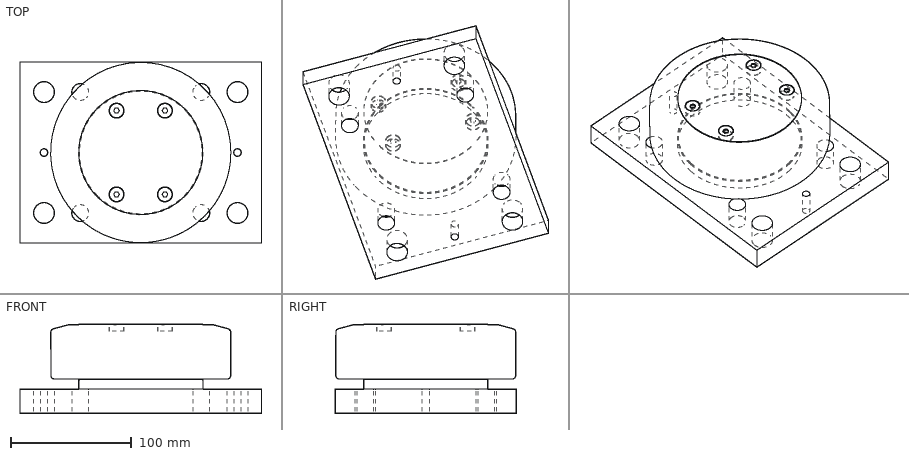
import cadquery as cq
import math

plate_length = 200.0
plate_width = 150.0
plate_thickness = 20.0
mount_hole_diameter = 17.0
mount_hole_x = 80.0
mount_hole_y = 50.0
inner_hole_diameter = 13.84
inner_hole_x = 50.0
inner_hole_y = mount_hole_y
dowel_hole_diameter = 6.0
dowel_hole_x = mount_hole_x

hub_diameter = 103.0
hub_top = 27.75
neck_diameter = 101.4

ring_diameter = 149.0
ring_bottom = 28.25
ring_height = 45.0
ring_top = ring_bottom + ring_height
ring_edge_fillet = 3.0
cone_top_diameter = 120.0
cone_angle = 15.0

cap_diameter = 102.5
overall_height = 74.0

screw_angles = (60.0, 120.0, 240.0, 300.0)
screw_circle_radius = 40.0
counterbore_diameter = 12.4
counterbore_depth = 6.0
screw_head_diameter = 11.7
head_recess = 0.2
socket_sides = 6
socket_flats = 4.0
socket_corner_diameter = socket_flats / math.cos(math.pi / socket_sides)
socket_depth = 1.0


def plane_at(height):
    """Horizontal workplane at a height above the plate underside."""
    return cq.Workplane("XY").workplane(offset=height)


def disc(diameter, bottom, top):
    """Upright cylinder on the Z axis between two heights."""
    return plane_at(bottom).circle(diameter / 2).extrude(top - bottom)


def corner_points(x, y):
    """The four points mirrored about both plate axes."""
    return [(side_x * x, side_y * y) for side_x in (-1, 1) for side_y in (-1, 1)]


def make_plate():
    plate = plane_at(0).rect(plate_length, plate_width).extrude(plate_thickness)
    hole_sets = (
        (mount_hole_diameter, corner_points(mount_hole_x, mount_hole_y)),
        (inner_hole_diameter, corner_points(inner_hole_x, inner_hole_y)),
        (dowel_hole_diameter, [(-dowel_hole_x, 0), (dowel_hole_x, 0)]),
    )
    for diameter, points in hole_sets:
        holes = plane_at(0).pushPoints(points).circle(diameter / 2).extrude(plate_thickness)
        plate = plate.cut(holes)
    return plate


def make_ring():
    """Ring with a conical shoulder, rounded at its two outermost edges."""
    outer_radius = ring_diameter / 2
    cone_top_radius = cone_top_diameter / 2
    cone_drop = (outer_radius - cone_top_radius) * math.tan(math.radians(cone_angle))
    shoulder_height = ring_top - cone_drop
    profile = (
        cq.Workplane("XZ")
        .moveTo(0, ring_bottom)
        .lineTo(outer_radius, ring_bottom)
        .lineTo(outer_radius, shoulder_height)
        .lineTo(cone_top_radius, ring_top)
        .lineTo(0, ring_top)
        .close()
    )
    ring = profile.revolve(360, (0, 0, 0), (0, 1, 0))
    outer_edges = ring.faces("%CYLINDER").edges("%CIRCLE")
    return outer_edges.fillet(ring_edge_fillet)


def sink_screws(body):
    """Sink the cap screws: a gap around each flat head and a hexagon socket in it."""
    centers = []
    for angle in screw_angles:
        turn = math.radians(angle)
        centers.append((screw_circle_radius * math.cos(turn), screw_circle_radius * math.sin(turn)))

    counterbore_floor = overall_height - counterbore_depth
    head_top = overall_height - head_recess
    head_height = head_top - counterbore_floor
    floor_points = plane_at(counterbore_floor).pushPoints(centers)
    head_points = plane_at(head_top).pushPoints(centers)

    counterbores = floor_points.circle(counterbore_diameter / 2).extrude(counterbore_depth)
    heads = floor_points.circle(screw_head_diameter / 2).extrude(head_height)
    sockets = head_points.polygon(socket_sides, socket_corner_diameter).extrude(-socket_depth)
    return body.cut(counterbores).union(heads).cut(sockets)


hub = disc(hub_diameter, plate_thickness, hub_top)
neck = disc(neck_diameter, hub_top, ring_bottom)
cap = disc(cap_diameter, ring_top, overall_height)
body = make_plate().union(hub).union(neck).union(make_ring()).union(cap)
result = sink_screws(body)